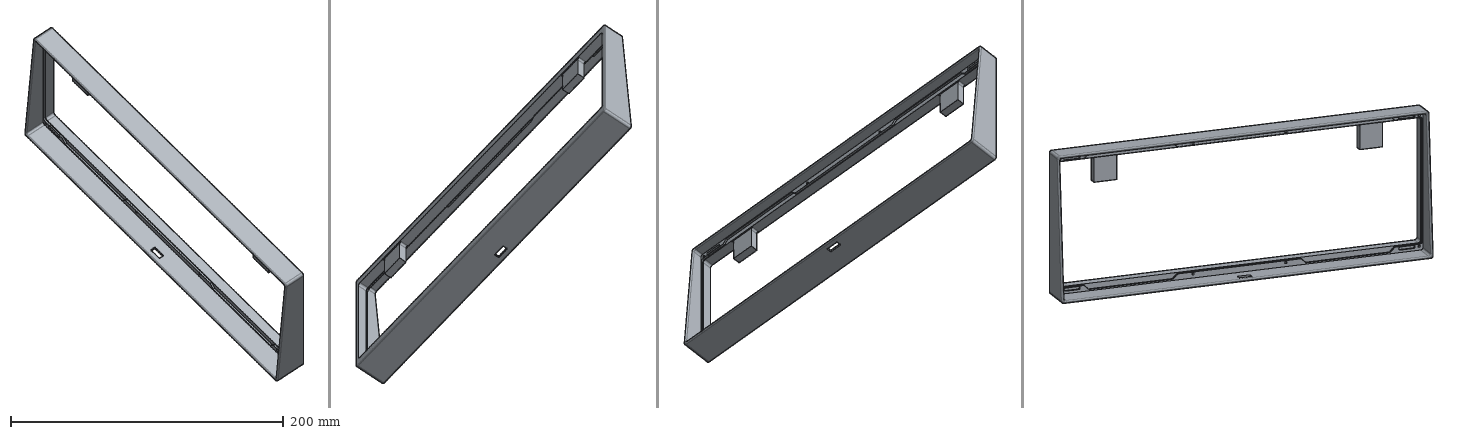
import cadquery as cq

length = 293.75
height = 111.25
bottom_depth = 25.644
top_depth = 17.0

wall = 2.0
corner_radius = 2.0
inner_corner_radius = 1.7
rim_round = 0.95
back_round = 0.6
ledge_depth = 9.2
rail_height = 7.3
side_rail_width = 3.1
opening_corner_radius = 2.0

rebate_depth = 1.5
rebate_margin = 0.7

bay_center = 85.8
bay_wall_length = 66.5
bay_wall_inset = 3.0
bay_opening_length = bay_wall_length + 2 * (rail_height - bay_wall_inset)

fixing_row_inset = 5.1
screw_diameter = 1.62
screw_depth = 5.0
screw_positions = (36.7, 142.0)
slot_position = 132.3
slot_length = 12.8
slot_width = 2.4
slot_depth = 1.5

tab_width = 18.0
tab_drop = 19.5
tab_thickness = 6.0
tab_setback = 0.8
tab_position = 105.0
tab_root_round = 1.5

window_width = 10.0
window_depth = 3.9
window_front_gap = 4.3

overlap = 1.0
ledge_front = -ledge_depth
rebate_floor = rebate_depth - ledge_depth
opening_half_height = height / 2 - rail_height


def upright_box(width, tall, y_back, y_front):
    """Box centred on X and Z that spans two Y positions."""
    box = cq.Workplane("XY").box(width, y_back - y_front, tall)
    return box.translate((0, (y_back + y_front) / 2, 0))


def make_shell():
    """Tapered outer block, open through the middle, with a ledge at the back."""
    body = upright_box(length, height, 0, -bottom_depth).edges("|Y").fillet(corner_radius)
    side_profile = [
        (0, -height / 2),
        (-bottom_depth, -height / 2),
        (-top_depth, height / 2),
        (0, height / 2),
    ]
    taper = cq.Workplane("YZ").polyline(side_profile).close().extrude(length / 2, both=True)
    body = body.intersect(taper)
    body = body.faces(">Y").edges().fillet(back_round)

    cavity = upright_box(length - 2 * wall, height - 2 * wall, ledge_front, -bottom_depth - overlap)
    cavity = cavity.edges("|Y").fillet(inner_corner_radius)
    opening = upright_box(
        length - 2 * side_rail_width, 2 * opening_half_height, overlap, -bottom_depth
    )
    opening = opening.edges("|Y").fillet(opening_corner_radius)
    shell = body.cut(cavity)
    shell = shell.faces("<Y").edges().fillet(rim_round)
    return shell.cut(opening)


def make_tab(side):
    """Block hanging from the top rail, flared where it meets the rail."""
    root_z = opening_half_height
    half = tab_width / 2
    flare = half + tab_root_round
    center_x = side * tab_position
    tab = (
        cq.Workplane("XZ")
        .moveTo(-flare, root_z)
        .radiusArc((-half, root_z - tab_root_round), tab_root_round)
        .lineTo(-half, root_z - tab_drop)
        .lineTo(half, root_z - tab_drop)
        .lineTo(half, root_z - tab_root_round)
        .radiusArc((flare, root_z), tab_root_round)
        .lineTo(flare, root_z + overlap)
        .lineTo(-flare, root_z + overlap)
        .close()
        .extrude(tab_thickness)
    )
    return tab.translate((center_x, -tab_setback, 0))


def make_rebate():
    """Shallow cut around the opening, widened by a bay in each half of both rails."""
    rebate = upright_box(
        length - 2 * side_rail_width + 2 * rebate_margin,
        2 * (opening_half_height + rebate_margin),
        rebate_floor,
        ledge_front - overlap,
    )
    rebate = rebate.edges("|Y").fillet(opening_corner_radius)
    bay_top = height / 2 - bay_wall_inset
    bay_profile = [
        (-bay_opening_length / 2, opening_half_height),
        (-bay_wall_length / 2, bay_top),
        (bay_wall_length / 2, bay_top),
        (bay_opening_length / 2, opening_half_height),
    ]
    bay = cq.Workplane("XZ", origin=(0, rebate_floor, 0)).polyline(bay_profile).close()
    bay = bay.extrude(rebate_depth + overlap)
    for side in (-1, 1):
        top_bay = bay.translate((side * bay_center, 0, 0))
        rebate = rebate.union(top_bay).union(top_bay.mirror("XY"))
    return rebate


def make_fixings():
    """Blind screw holes and slots sunk into the front of both rails."""
    row_z = height / 2 - fixing_row_inset
    ledge_plane = cq.Workplane("XZ", origin=(0, ledge_front, 0))
    screw_points = [(sx * x, sz * row_z) for x in screw_positions for sx in (-1, 1) for sz in (-1, 1)]
    slot_points = [(sx * slot_position, sz * row_z) for sx in (-1, 1) for sz in (-1, 1)]
    screws = ledge_plane.pushPoints(screw_points).circle(screw_diameter / 2).extrude(-screw_depth)
    slots = ledge_plane.pushPoints(slot_points).slot2D(slot_length, slot_width).extrude(-slot_depth)
    return screws.union(slots)


def make_window():
    """Rectangular opening through the bottom wall."""
    window = cq.Workplane("XY").box(window_width, window_depth, wall + 2 * overlap)
    center_y = -bottom_depth + window_front_gap + window_depth / 2
    return window.translate((0, center_y, -height / 2 + wall / 2))


result = make_shell().cut(make_rebate()).cut(make_fixings()).cut(make_window())
for side in (-1, 1):
    result = result.union(make_tab(side))